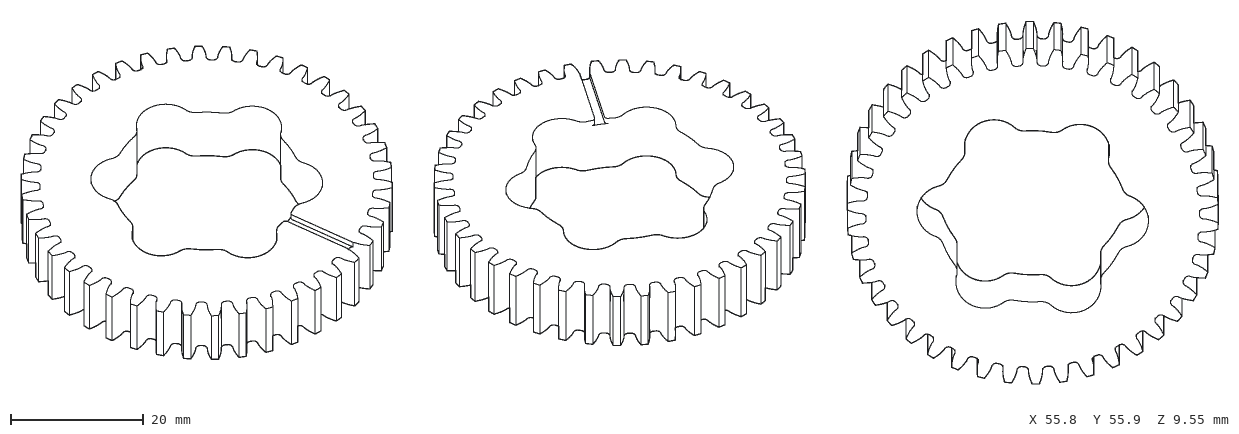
import cadquery as cq
import math

TOOTH_COUNT = 42
OUTER_RADIUS = 27.95
MODULE = 2 * OUTER_RADIUS / (TOOTH_COUNT + 2)
DEDENDUM = 1.25 * MODULE
PRESSURE_ANGLE = math.radians(14.5)
PITCH_RADIUS = MODULE * TOOTH_COUNT / 2
PITCH_ANGLE = 2 * math.pi / TOOTH_COUNT
BASE_RADIUS = PITCH_RADIUS * math.cos(PRESSURE_ANGLE)
ROOT_RADIUS = PITCH_RADIUS - DEDENDUM
ROOT_FILLET = 0.65
BACKLASH = 0.15
THICKNESS = 9.55
FLANK_POINTS = 6

LOBE_COUNT = 6
FIRST_LOBE_ANGLE = 30
LOBE_CENTRE_RADIUS = 13.0
LOBE_RADIUS = 4.4
BORE_RADIUS = 14.25
BORE_CORNER_FILLET = 2.0

SLOT_WIDTH = 1.5
SLOT_DEPTH = 1.0
SLOT_MOUTH_FILLET = 0.5


def polar(radius, angle):
    return (radius * math.cos(angle), radius * math.sin(angle))


def flank_slope(radius):
    """Angle between the involute flank and the radial direction."""
    return math.acos(BASE_RADIUS / radius)


def involute_angle(radius):
    """Angle swept by the involute between the base circle and this radius."""
    slope = flank_slope(radius)
    return math.tan(slope) - slope


def half_gap_angle(radius):
    """Angle from the middle of a tooth gap to its flank at this radius."""
    widening = involute_angle(radius) - involute_angle(PITCH_RADIUS)
    return PITCH_ANGLE / 4 + BACKLASH / (4 * PITCH_RADIUS) + widening


def make_tooth_gap():
    """Space between two teeth, centred on +X, with radial walls below the base circle."""
    step = (OUTER_RADIUS - BASE_RADIUS) / (FLANK_POINTS - 1)
    radii = [BASE_RADIUS + i * step for i in range(FLANK_POINTS)]
    flank = [polar(r, half_gap_angle(r)) for r in radii]
    root_half_angle = half_gap_angle(BASE_RADIUS)
    base_direction = polar(1, root_half_angle)
    tip_direction = polar(1, half_gap_angle(OUTER_RADIUS) + flank_slope(OUTER_RADIUS))
    tip_x, tip_y = flank[-1]

    upper_half = (
        cq.Workplane("XY")
        .moveTo(ROOT_RADIUS, 0)
        .threePointArc(polar(ROOT_RADIUS, root_half_angle / 2), polar(ROOT_RADIUS, root_half_angle))
        .lineTo(*flank[0])
        .spline(flank[1:], tangents=[base_direction, tip_direction], includeCurrent=True)
        .lineTo(tip_x + MODULE, tip_y)
        .lineTo(tip_x + MODULE, 0)
    )
    gap = upper_half.mirrorX().extrude(THICKNESS)
    return gap.faces("<X").edges("|Z").fillet(ROOT_FILLET)


def make_gear_blank():
    gap = make_tooth_gap()
    blank = cq.Workplane("XY").circle(OUTER_RADIUS).extrude(THICKNESS)
    gaps = [
        gap.rotate((0, 0, 0), (0, 0, 1), i * 360 / TOOTH_COUNT).val()
        for i in range(TOOTH_COUNT)
    ]
    return cq.Workplane(blank.val().cut(*gaps))


def make_bore():
    """Round bore with evenly spaced round lobes, rounded where they meet the bore wall."""
    core = cq.Workplane("XY").circle(BORE_RADIUS).extrude(THICKNESS)
    lobes = (
        cq.Workplane("XY")
        .polarArray(LOBE_CENTRE_RADIUS, FIRST_LOBE_ANGLE, 360, LOBE_COUNT)
        .circle(LOBE_RADIUS)
        .extrude(THICKNESS)
    )
    bore = core.union(lobes)
    return bore.edges("|Z").fillet(BORE_CORNER_FILLET)


def make_slot():
    """Shallow slot along +X from the bore to a tooth gap, flared where it opens into the bore."""
    slot_floor = THICKNESS - SLOT_DEPTH
    wall_y = SLOT_WIDTH / 2
    fillet_centre_y = wall_y + SLOT_MOUTH_FILLET
    centre_distance = BORE_RADIUS + SLOT_MOUTH_FILLET
    fillet_centre_x = math.sqrt(centre_distance**2 - fillet_centre_y**2)
    contact_scale = BORE_RADIUS / centre_distance
    mouth_x = fillet_centre_x * contact_scale
    mouth_y = fillet_centre_y * contact_scale
    contact_angle = math.atan2(fillet_centre_y, fillet_centre_x)
    bore_side_angle = math.pi + contact_angle
    wall_side_angle = 1.5 * math.pi
    middle_angle = (bore_side_angle + wall_side_angle) / 2
    offset_x, offset_y = polar(SLOT_MOUTH_FILLET, middle_angle)
    middle_x = fillet_centre_x + offset_x
    middle_y = fillet_centre_y + offset_y
    return (
        cq.Workplane("XY", origin=(0, 0, slot_floor))
        .moveTo(LOBE_CENTRE_RADIUS, -mouth_y)
        .lineTo(mouth_x, -mouth_y)
        .threePointArc((middle_x, -middle_y), (fillet_centre_x, -wall_y))
        .lineTo(PITCH_RADIUS, -wall_y)
        .lineTo(PITCH_RADIUS, wall_y)
        .lineTo(fillet_centre_x, wall_y)
        .threePointArc((middle_x, middle_y), (mouth_x, mouth_y))
        .lineTo(LOBE_CENTRE_RADIUS, mouth_y)
        .close()
        .extrude(SLOT_DEPTH)
    )


result = make_gear_blank().cut(make_bore()).cut(make_slot())